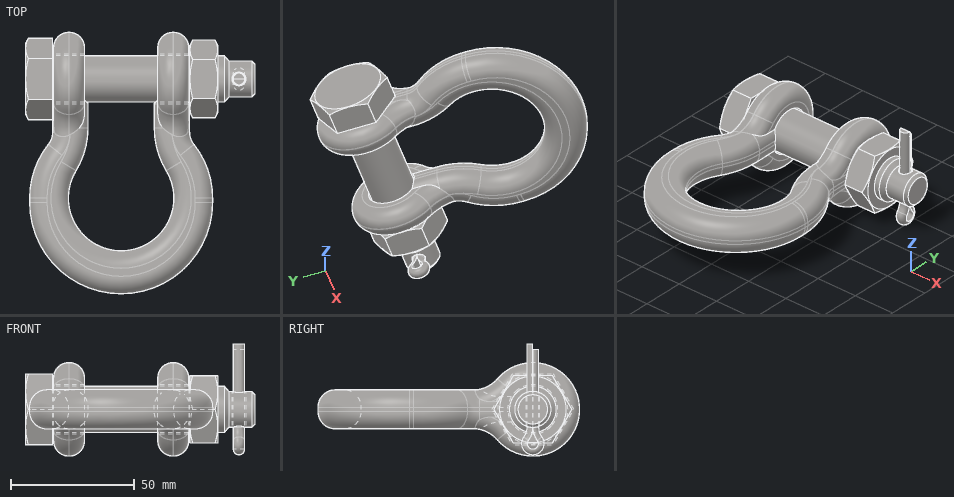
import cadquery as cq
import math


bow_height = 16.0
bow_edge_radius = 7.1
opening_radius = 21.4
crown_radius = 37.2
crown_offset = 1.7
shoulder_radius = 35.1
leg_inner_x = 13.4
leg_outer_x = 27.9
inner_blend_radius = 33.5
outer_blend_radius = 8.0

bolt_y = 48.4
ear_x = 21.2
ear_width = 12.7
ear_radius = 19.0
ear_edge_radius = 6.3
ear_hole_radius = 10.1
neck_radius = 13.2
neck_inset = 0.1
leg_end_y = 40.4

bolt_radius = 9.5
head_thickness = 11.1
head_flats = 28.8
shoulder_end_x = 41.9
tip_start_x = 43.8
tip_end_x = 54.5
tip_radius = 7.3
tip_chamfer = 1.4

nut_thickness = 11.5
nut_flats = 27.5

chamfer_face_inset = 0.2
chamfer_angle = 27.0

cotter_x = 47.9
wire_thickness = 2.3
leg_gap = 0.1
cotter_hole_radius = 2.8
long_leg_z = 26.6
short_leg_z = 24.4
eye_radius = 4.6
flare_radius = 6.5


def arc_point(centre, radius, degrees):
    """Point on a circle at an angle from the first axis."""
    angle = math.radians(degrees)
    return (centre[0] + radius * math.cos(angle), centre[1] + radius * math.sin(angle))


def blend(centre, radius, leg_x, blend_radius):
    """Arc from a circle centred on y = 0 into a leg line: start, middle and end points."""
    blend_x = leg_x + blend_radius
    turn = math.acos((blend_x - centre[0]) / (radius + blend_radius))
    blend_centre = (blend_x, (radius + blend_radius) * math.sin(turn))
    degrees = math.degrees(turn)
    return [arc_point(blend_centre, blend_radius, 180 + part * degrees) for part in (1, 0.5, 0)]


def flip(point):
    """Mirror image of a point across the second axis."""
    return (-point[0], point[1])


def bolt_plane(x):
    """Work plane square to the bolt, centred on its axis."""
    return cq.Workplane("YZ", origin=(x, bolt_y, 0))


def make_bow():
    """Horseshoe plate with rounded edges, widest at the crown."""
    shoulder_centre = (crown_radius - shoulder_radius, 0)
    outer_start, outer_mid, outer_end = blend(
        shoulder_centre, shoulder_radius, leg_outer_x, outer_blend_radius
    )
    inner_start, inner_mid, inner_end = blend(
        (0, 0), opening_radius, leg_inner_x, inner_blend_radius
    )
    shoulder_angle = math.degrees(math.atan2(outer_start[1], outer_start[0] - shoulder_centre[0]))
    shoulder_mid = arc_point(shoulder_centre, shoulder_radius, shoulder_angle / 2)
    outline = (
        cq.Workplane("XY", origin=(0, 0, -bow_height / 2))
        .moveTo(leg_outer_x, leg_end_y)
        .lineTo(*outer_end)
        .threePointArc(outer_mid, outer_start)
        .threePointArc(shoulder_mid, (crown_radius, 0))
        .lineTo(crown_radius, -crown_offset)
        .threePointArc((0, -crown_offset - crown_radius), (-crown_radius, -crown_offset))
        .lineTo(-crown_radius, 0)
        .threePointArc(flip(shoulder_mid), flip(outer_start))
        .threePointArc(flip(outer_mid), flip(outer_end))
        .lineTo(-leg_outer_x, leg_end_y)
        .lineTo(-leg_inner_x, leg_end_y)
        .lineTo(*flip(inner_end))
        .threePointArc(flip(inner_mid), flip(inner_start))
        .threePointArc((0, -opening_radius), inner_start)
        .threePointArc(inner_mid, inner_end)
        .lineTo(leg_inner_x, leg_end_y)
        .close()
    )
    return outline.extrude(bow_height).faces("|Z").edges("not(>Y)").fillet(bow_edge_radius)


def make_ear(x):
    """Round eye with a neck that flares into the leg, fully rounded along its rim."""
    half_neck = bow_height / 2 - neck_inset
    neck_z = half_neck + neck_radius
    reach = ear_radius + neck_radius
    neck_angle = math.degrees(math.asin(neck_z / reach))
    neck_y = -reach * math.cos(math.radians(neck_angle))
    touch_y, touch_z = arc_point((0, 0), ear_radius, 180 - neck_angle)
    mid_y, mid_z = arc_point((neck_y, neck_z), neck_radius, -(90 + neck_angle) / 2)
    return (
        bolt_plane(x - ear_width / 2)
        .moveTo(neck_y, half_neck)
        .threePointArc((mid_y, mid_z), (touch_y, touch_z))
        .threePointArc((ear_radius, 0), (touch_y, -touch_z))
        .threePointArc((mid_y, -mid_z), (neck_y, -half_neck))
        .close()
        .extrude(ear_width)
        .faces("|X")
        .edges("not(<Y)")
        .fillet(ear_edge_radius)
    )


def make_hexagon(x, thickness, flats, chamfer_start, chamfer_end):
    """Hexagonal prism along X with two flats level and its corners turned off at chosen ends."""
    corner = flats / math.sqrt(3)
    face_radius = flats / 2 - chamfer_face_inset
    depth = (corner - face_radius) * math.tan(math.radians(chamfer_angle))
    start_radius = face_radius if chamfer_start else corner
    end_radius = face_radius if chamfer_end else corner
    envelope = (
        cq.Workplane("XY")
        .moveTo(x, 0)
        .lineTo(x, start_radius)
        .lineTo(x + depth, corner)
        .lineTo(x + thickness - depth, corner)
        .lineTo(x + thickness, end_radius)
        .lineTo(x + thickness, 0)
        .close()
        .revolve(360, (0, 0), (1, 0))
        .translate((0, bolt_y, 0))
    )
    return bolt_plane(x).polygon(6, 2 * corner).extrude(thickness).intersect(envelope)


def make_bolt():
    """Hexagon head, shank, and a reduced tip with the cotter hole."""
    head_x = -leg_outer_x - head_thickness
    head = make_hexagon(head_x, head_thickness, head_flats, True, False)
    shank = (
        cq.Workplane("XY")
        .moveTo(-leg_outer_x, 0)
        .lineTo(-leg_outer_x, bolt_radius)
        .lineTo(shoulder_end_x, bolt_radius)
        .lineTo(tip_start_x, tip_radius)
        .lineTo(tip_end_x - tip_chamfer, tip_radius)
        .lineTo(tip_end_x, tip_radius - tip_chamfer)
        .lineTo(tip_end_x, 0)
        .close()
        .revolve(360, (0, 0), (1, 0))
        .translate((0, bolt_y, 0))
    )
    cotter_hole = (
        cq.Workplane("XY", origin=(cotter_x, bolt_y, -bolt_radius))
        .circle(cotter_hole_radius)
        .extrude(2 * bolt_radius)
    )
    return head.union(shank).cut(cotter_hole)


def make_shackle():
    """Bow with ears, bored for the bolt, joined with the bolt and its nut."""
    bow = make_bow()
    for side in (-1, 1):
        bow = bow.union(make_ear(side * ear_x))
    bore = bolt_plane(-leg_outer_x).circle(ear_hole_radius).extrude(2 * leg_outer_x)
    nut = make_hexagon(leg_outer_x, nut_thickness, nut_flats, True, True)
    return bow.cut(bore).union(make_bolt().union(nut))


def make_cotter():
    """Half-round wire bent double: long leg, flared eye below the bolt, and short leg."""
    flare_start_z = -tip_radius
    leg_y = -leg_gap / 2
    flare_path_radius = flare_radius + wire_thickness
    eye_path_radius = eye_radius - wire_thickness
    centre_distance = flare_radius + eye_radius
    turn = math.degrees(math.acos((flare_path_radius - leg_y) / centre_distance))
    flare_centre = (leg_y - flare_path_radius, flare_start_z)
    eye_centre = (0, flare_start_z - centre_distance * math.sin(math.radians(turn)))
    flare_mid = arc_point(flare_centre, flare_path_radius, -turn / 2)
    flare_end = arc_point(flare_centre, flare_path_radius, -turn)
    path = (
        bolt_plane(cotter_x)
        .moveTo(leg_y, long_leg_z)
        .lineTo(leg_y, flare_start_z)
        .threePointArc(flare_mid, flare_end)
        .threePointArc((0, eye_centre[1] - eye_path_radius), flip(flare_end))
        .threePointArc(flip(flare_mid), (-leg_y, flare_start_z))
        .lineTo(-leg_y, short_leg_z)
    )
    return (
        cq.Workplane("XY", origin=(cotter_x, bolt_y + leg_y, long_leg_z))
        .moveTo(-wire_thickness, 0)
        .threePointArc((0, -wire_thickness), (wire_thickness, 0))
        .close()
        .sweep(path)
    )


shackle = make_shackle()
cotter = make_cotter()
result = cq.Compound.makeCompound([shackle.solids().val(), cotter.solids().val()])